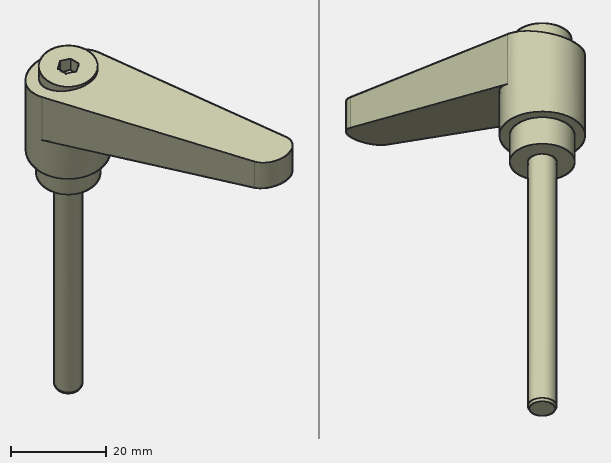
import cadquery as cq
import math


stud_radius = 3.0
stud_chamfer_height = 0.7
stud_chamfer_width = 0.3

collar_radius = 6.8
collar_bottom = 62.8
hub_radius = 9.0
hub_bottom = 69.5
head_radius = 6.2
head_top = 94.0

overall_length = 71.0
overall_height = 108.7
tip_radius = 5.0
tip_thickness = 7.4
hub_back_height = 89.2
underside_start_height = 78.9

socket_width = 4.0
socket_depth = 3.3
socket_cone_angle = 120.0

reach = overall_length - hub_radius
tip_center = reach - tip_radius


def cylinder(radius, bottom, top):
    return cq.Workplane("XY").workplane(offset=bottom).circle(radius).extrude(top - bottom)


def lever_outline():
    """Plan outline: hub and tip circles joined by their common tangents."""
    taper_sine = (hub_radius - tip_radius) / tip_center
    taper_cosine = math.sqrt(1 - taper_sine**2)
    hub_x = hub_radius * taper_sine
    hub_y = hub_radius * taper_cosine
    tip_x = tip_center + tip_radius * taper_sine
    tip_y = tip_radius * taper_cosine
    return (
        cq.Workplane("XY")
        .moveTo(hub_x, -hub_y)
        .lineTo(tip_x, -tip_y)
        .threePointArc((reach, 0), (tip_x, tip_y))
        .lineTo(hub_x, hub_y)
        .threePointArc((-hub_radius, 0), (hub_x, -hub_y))
        .close()
    )


def make_handle():
    """Hub and lever share the sloping top; the lever's underside rises to the tip."""
    tip_bottom = overall_height - tip_thickness
    arm_profile = (
        cq.Workplane("XZ")
        .polyline([
            (-hub_radius, hub_bottom),
            (0, hub_bottom),
            (0, underside_start_height),
            (reach, tip_bottom),
            (reach, overall_height),
            (-hub_radius, hub_back_height),
        ])
        .close()
        .extrude(hub_radius, both=True)
    )
    arm = lever_outline().extrude(overall_height).intersect(arm_profile)

    top_slope = (overall_height - hub_back_height) / overall_length
    hub_front_height = hub_back_height + 2 * hub_radius * top_slope
    hub_profile = (
        cq.Workplane("XZ")
        .polyline([
            (-hub_radius, hub_bottom),
            (hub_radius, hub_bottom),
            (hub_radius, hub_front_height),
            (-hub_radius, hub_back_height),
        ])
        .close()
        .extrude(hub_radius, both=True)
    )
    hub = cylinder(hub_radius, hub_bottom, overall_height).intersect(hub_profile)
    return hub.union(arm)


def make_stud():
    straight = cylinder(stud_radius, stud_chamfer_height, collar_bottom)
    point = (
        cq.Workplane("XY")
        .circle(stud_radius - stud_chamfer_width)
        .workplane(offset=stud_chamfer_height)
        .circle(stud_radius)
        .loft()
    )
    return straight.union(point)


def make_socket():
    """Hexagonal prism whose lower end is trimmed to a cone."""
    corner_radius = socket_width / math.sqrt(3)
    cone_height = corner_radius / math.tan(math.radians(socket_cone_angle / 2))
    socket_bottom = head_top - socket_depth
    hexagon = (
        cq.Workplane("XY")
        .workplane(offset=socket_bottom - cone_height)
        .polygon(6, 2 * corner_radius)
        .extrude(socket_depth + cone_height)
    )
    pointed_bore = (
        cq.Workplane("XZ")
        .polyline([
            (0, socket_bottom - cone_height),
            (corner_radius, socket_bottom),
            (corner_radius, head_top),
            (0, head_top),
        ])
        .close()
        .revolve(360, (0, 0, 0), (0, 1, 0))
    )
    return hexagon.intersect(pointed_bore)


collar = cylinder(collar_radius, collar_bottom, hub_bottom)
screw_head = cylinder(head_radius, hub_bottom, head_top)

result = make_handle().union(collar).union(make_stud()).union(screw_head).cut(make_socket())